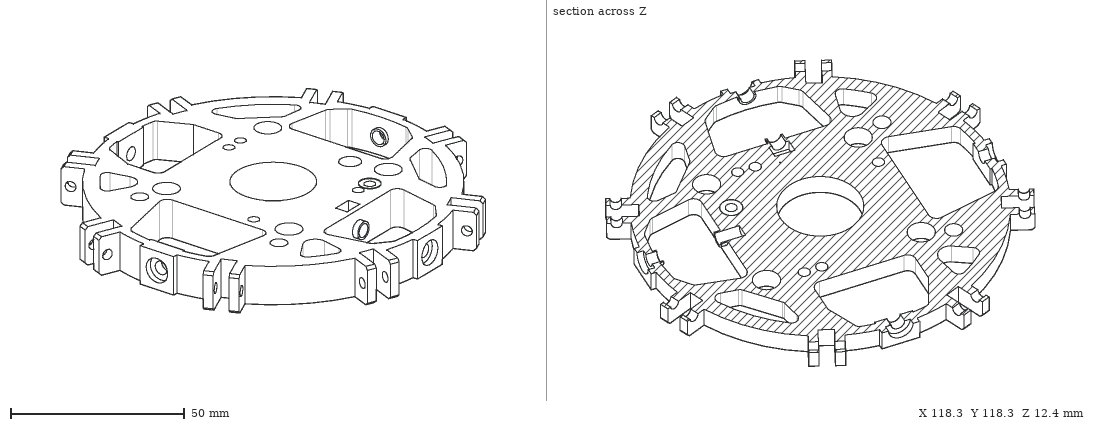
import cadquery as cq
import math

thickness = 12.4
mid_height = thickness / 2
body_radius = 55.0
bore_diameter = 25.0
rim_inner_radius = 52.0
slot_outer_radius = 50.0

fork_angles = [22.5 + 45.0 * i for i in range(8)]
fork_slot_width = 4.7
fork_slot_floor_radius = 52.3
fin_thickness = 3.0
fin_tip_radius = 61.785
fin_tip_chamfer = 0.9
fin_hole_diameter = 3.2
fin_hole_radius = 58.9

pad_width = 12.0
pad_outer_face = 56.25
pad_inner_face = 51.07
radial_hole_diameter = 4.2
radial_bore_diameter = 7.7
radial_bore_depth = 2.0

boss_diameter = 5.5
core_edge = 30.5
core_boss_end = 32.4
rim_boss_end = 50.75
boss_embed = 1.0

nut_pocket_near = 24.7
nut_pocket_length = 4.1
nut_pocket_width = 6.2
nut_pocket_depth = mid_height + nut_pocket_width / 2

large_hole_diameter = 8.0
large_hole_points = [(-22, 27), (22, 26), (-22, -22), (22, -22)]
medium_hole_diameter = 5.1
medium_hole_points = [(-25, -30.9), (25, -30.9)]
small_hole_diameter = 3.4
deep_bore_point = (10.1, 23.6)
shallow_bore_point = (23, 15.7)
small_hole_points = [
    deep_bore_point,
    shallow_bore_point,
    (23, 10.15),
    (-23.45, 15.7),
    (-23.45, 10.15),
    (10.1, -23),
]
face_bore_diameter = 6.6
deep_bore_depth = mid_height
shallow_bore_depth = 0.2

beyond_rim = 60.0
window_corner = 2.5
shoulder_corner = 2.0

tall_base_half_width = 18.7
tall_shoulder = (15.3, 46.8)
tall_crown = (10.3, 51.0)
tall_crown_corner = 2.5

low_window_edge = -27.0
low_window_half_width = 19.2
low_window_taper = 0.2

left_window_edge = -28.97
left_window_half_width = 15.87
left_window_slant_start = -40.5
left_window_slant = math.tan(math.radians(24.5))
left_rim_corner = 1.5

corner_window_rounding = 2.0
upper_inner_points = [(22.6, 35.5), (32.8, 26.4)]
upper_outer_points = [(52.5, 22.6), (52.5, 55.0), (19.5, 55.0)]
upper_tips = [(21.0, 45.3), (43.7, 24.2)]
upper_inner_rounding = 1.5

lower_apex = (26.9, -20.4)
lower_outer_points = [(52.5, -26.0), (52.5, -64.3)]
lower_tips = [(44.0, -24.1), (35.8, -35.5)]
lower_apex_rounding = 3.6


def disc(radius):
    return cq.Workplane("XY").circle(radius).extrude(thickness)


def box_between(x_range, y_range, z_range):
    size = [r[1] - r[0] for r in (x_range, y_range, z_range)]
    corner = (x_range[0], y_range[0], z_range[0])
    return cq.Workplane("XY").box(*size, centered=False).translate(corner)


def turned(shape, angle):
    return shape.rotate((0, 0, 0), (0, 0, 1), angle)


def radial_cylinder(diameter, start, end):
    """Cylinder along +X at mid height, between two distances from the axis."""
    plane = cq.Workplane("YZ", origin=(start, 0, mid_height))
    return plane.circle(diameter / 2).extrude(end - start)


def window(outline, limit_radius, corners):
    """Prism of the outline, cut off at limit_radius; corners are (x, y, fillet radius)."""
    prism = cq.Workplane("XY").polyline(outline).close().extrude(thickness)
    prism = prism.intersect(disc(limit_radius))
    for x, y, radius in corners:
        edge = cq.selectors.NearestToPointSelector((x, y, mid_height))
        prism = prism.edges("|Z").edges(edge).fillet(radius)
    return prism


def both_sides(points):
    """Points followed by their mirror images across the Y axis, running back."""
    return points + [(-x, y) for x, y in reversed(points)]


def rounded(points, radius):
    """Attach one fillet radius to each corner point."""
    return [(x, y, radius) for x, y in points]


def tall_window():
    base = (tall_base_half_width, core_edge)
    outline = both_sides([base, tall_shoulder, tall_crown, (tall_crown[0], beyond_rim)])
    corners = rounded(both_sides([base]), window_corner)
    corners += rounded(both_sides([tall_shoulder]), shoulder_corner)
    corners += rounded(both_sides([tall_crown]), tall_crown_corner)
    return window(outline, rim_inner_radius, corners)


def low_window():
    def side_point(y):
        return (low_window_half_width - low_window_taper * (low_window_edge - y), y)

    base = side_point(low_window_edge)
    rim_corner = side_point(-math.sqrt(rim_inner_radius**2 - low_window_half_width**2))
    outline = both_sides([base, side_point(-beyond_rim)])
    corners = rounded(both_sides([base, rim_corner]), window_corner)
    return window(outline, rim_inner_radius, corners)


def left_window():
    def slant_point(x):
        return (x, left_window_half_width - left_window_slant * (left_window_slant_start - x))

    base = (left_window_edge, left_window_half_width)
    rim_corner = slant_point(-rim_inner_radius)
    upper = [base, slant_point(left_window_slant_start), slant_point(-beyond_rim)]
    lower = [(x, -y) for x, y in reversed(upper)]
    corners = []
    for side in (1, -1):
        corners.append((base[0], side * base[1], window_corner))
        corners.append((rim_corner[0], side * rim_corner[1], left_rim_corner))
    return window(upper + lower, rim_inner_radius, corners)


def upper_corner_window():
    corners = rounded(upper_tips, corner_window_rounding)
    corners += rounded(upper_inner_points, upper_inner_rounding)
    return window(upper_inner_points + upper_outer_points, slot_outer_radius, corners)


def lower_corner_window():
    corners = rounded([lower_apex], lower_apex_rounding)
    corners += rounded(lower_tips, corner_window_rounding)
    return window([lower_apex] + lower_outer_points, slot_outer_radius, corners)


def fork():
    """Two parallel fins along +X with chamfered tips."""
    half_width = fork_slot_width / 2 + fin_thickness
    block = box_between(
        (fork_slot_floor_radius, fin_tip_radius), (-half_width, half_width), (0, thickness)
    )
    return block.edges(">X and |Y").chamfer(fin_tip_chamfer)


def fork_cut():
    """Slot between the fins together with their cross hole."""
    half_slot = fork_slot_width / 2
    slot = box_between(
        (fork_slot_floor_radius, fin_tip_radius), (-half_slot, half_slot), (0, thickness)
    )
    hole_length = 2 * (half_slot + fin_thickness)
    hole = (
        cq.Workplane("XZ", origin=(fin_hole_radius, 0, mid_height))
        .circle(fin_hole_diameter / 2)
        .extrude(hole_length / 2, both=True)
    )
    return slot.union(hole)


def pad(inner_face):
    return box_between((inner_face, pad_outer_face), (-pad_width / 2, pad_width / 2), (0, thickness))


def drill(part, points, diameter, depth=thickness):
    holes = (
        cq.Workplane("XY", origin=(0, 0, thickness))
        .pushPoints(points)
        .circle(diameter / 2)
        .extrude(-depth)
    )
    return part.cut(holes)


result = disc(body_radius)
windows = [
    tall_window(),
    turned(tall_window(), -90),
    low_window(),
    left_window(),
]
for corner_window in (upper_corner_window(), lower_corner_window()):
    windows.append(corner_window)
    windows.append(corner_window.mirror("YZ"))
for opening in windows:
    result = result.cut(opening)

for angle in fork_angles:
    result = result.union(turned(fork(), angle))
    result = result.cut(turned(fork_cut(), angle))

for angle in (0, 90):
    core_boss = radial_cylinder(boss_diameter, core_edge - boss_embed, core_boss_end)
    rim_boss = radial_cylinder(boss_diameter, rim_boss_end, rim_inner_radius + boss_embed)
    core_hole = radial_cylinder(radial_hole_diameter, nut_pocket_near, core_boss_end)
    for addition in (pad(rim_inner_radius), core_boss, rim_boss):
        result = result.union(turned(addition, angle))
    result = result.cut(turned(core_hole, angle))
for angle in (180, 270):
    result = result.union(turned(pad(pad_inner_face), angle))

pad_hole = radial_cylinder(radial_hole_diameter, rim_boss_end, pad_outer_face)
pad_bore = radial_cylinder(radial_bore_diameter, pad_outer_face - radial_bore_depth, pad_outer_face)
for angle in (0, 90, 180, 270):
    result = result.cut(turned(pad_hole.union(pad_bore), angle))

nut_pocket = box_between(
    (nut_pocket_near, nut_pocket_near + nut_pocket_length),
    (-nut_pocket_width / 2, nut_pocket_width / 2),
    (thickness - nut_pocket_depth, thickness),
)
result = result.cut(nut_pocket)

result = drill(result, [(0, 0)], bore_diameter)
result = drill(result, large_hole_points, large_hole_diameter)
result = drill(result, medium_hole_points, medium_hole_diameter)
result = drill(result, small_hole_points, small_hole_diameter)
result = drill(result, [deep_bore_point], face_bore_diameter, deep_bore_depth)
result = drill(result, [shallow_bore_point], face_bore_diameter, shallow_bore_depth)